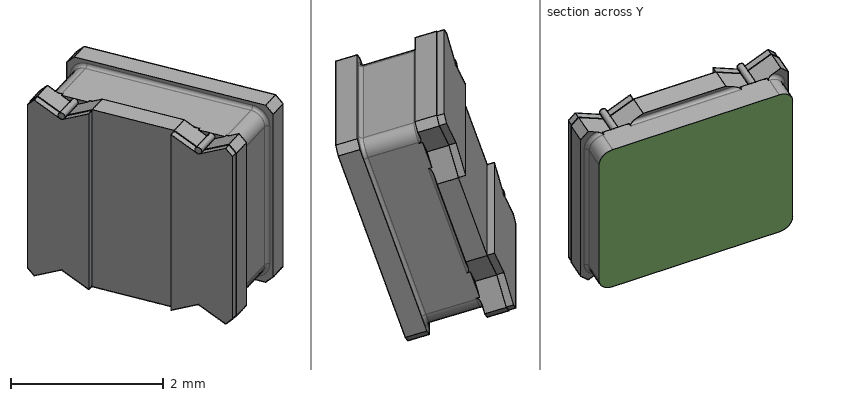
import cadquery as cq

FLANGE_WIDTH = 3.02
FLANGE_HEIGHT = 2.72
FLANGE_CHAMFER = 0.11

ELECTRODE_THICKNESS = 0.1
FLANGE_THICKNESS = 0.3
CORE_LENGTH = 0.8
TOTAL_DEPTH = ELECTRODE_THICKNESS + 2 * FLANGE_THICKNESS + CORE_LENGTH

CORE_INSET = 0.1
CORE_WIDTH = FLANGE_WIDTH - 2 * CORE_INSET
CORE_HEIGHT = FLANGE_HEIGHT - 2 * CORE_INSET
CORE_CORNER_RADIUS = 0.2
ROOT_FILLET = 0.05

NOTCH_CENTER_X = 1.0
NOTCH_WIDTH = 0.8
NOTCH_DEPTH = 0.195

ELECTRODE_SETBACK = 0.01
ELECTRODE_INNER_X = NOTCH_CENTER_X - NOTCH_WIDTH / 2

WIRE_RADIUS = 0.05
WIRE_CENTER_Z = CORE_HEIGHT / 2 - WIRE_RADIUS

FRONT_Y = -TOTAL_DEPTH / 2
FLANGE_FRONT_Y = FRONT_Y + ELECTRODE_THICKNESS
CORE_FRONT_Y = FLANGE_FRONT_Y + FLANGE_THICKNESS
CORE_BACK_Y = CORE_FRONT_Y + CORE_LENGTH

SIDES = (-1, 1)


def plane_at(y):
    """XZ sketch plane at the given Y; a negative extrusion runs toward +Y."""
    return cq.Workplane("XZ", origin=(0, y, 0))


def plate(y, thickness, setback=0.0):
    """Chamfered rectangular plate with its front face at y."""
    width = FLANGE_WIDTH - 2 * setback
    height = FLANGE_HEIGHT - 2 * setback
    blank = plane_at(y).rect(width, height).extrude(-thickness)
    return blank.edges("|Y").chamfer(FLANGE_CHAMFER - setback)


def make_core():
    blank = plane_at(CORE_FRONT_Y).rect(CORE_WIDTH, CORE_HEIGHT).extrude(-CORE_LENGTH)
    return blank.edges("|Y").fillet(CORE_CORNER_RADIUS)


def make_bobbin(core):
    """Core with both flanges and a small fillet at each flange root."""
    front = plate(FLANGE_FRONT_Y, FLANGE_THICKNESS)
    back = plate(CORE_BACK_Y, FLANGE_THICKNESS)
    bobbin = front.union(core).union(back)
    reach_x = (CORE_WIDTH + ROOT_FILLET) / 2
    reach_z = (CORE_HEIGHT + ROOT_FILLET) / 2
    roots = cq.selectors.BoxSelector(
        (-reach_x, CORE_FRONT_Y - ROOT_FILLET, -reach_z),
        (reach_x, CORE_BACK_Y + ROOT_FILLET, reach_z),
    )
    return bobbin.edges(roots).edges("not |Y").fillet(ROOT_FILLET)


def notches(reach_y, setback=0.0):
    """Four V-shaped cutters running back from the front, moved inward by setback."""
    half_width = NOTCH_WIDTH / 2
    edge_z = FLANGE_HEIGHT / 2 - setback
    root_z = edge_z - NOTCH_DEPTH
    cutters = cq.Workplane("XZ")
    for side in SIDES:
        for end in SIDES:
            center_x = side * NOTCH_CENTER_X
            outline = [
                (center_x - half_width, end * edge_z),
                (center_x, end * root_z),
                (center_x + half_width, end * edge_z),
            ]
            cutters = cutters.add(plane_at(FRONT_Y).polyline(outline).close().extrude(-reach_y))
    return cutters.combine()


def make_electrodes():
    pad = plate(FRONT_Y, ELECTRODE_THICKNESS, ELECTRODE_SETBACK)
    gap = plane_at(FRONT_Y).rect(2 * ELECTRODE_INNER_X, FLANGE_HEIGHT).extrude(-ELECTRODE_THICKNESS)
    return pad.cut(gap).cut(notches(ELECTRODE_THICKNESS, ELECTRODE_SETBACK))


def make_wires():
    centers = [(side * NOTCH_CENTER_X, WIRE_CENTER_Z) for side in SIDES]
    length = CORE_FRONT_Y - FRONT_Y
    return plane_at(FRONT_Y).pushPoints(centers).circle(WIRE_RADIUS).extrude(-length)


core = make_core()
notch_reach = CORE_FRONT_Y + ROOT_FILLET - FRONT_Y
body = make_bobbin(core).cut(notches(notch_reach)).union(core)
result = body.union(make_electrodes()).union(make_wires())